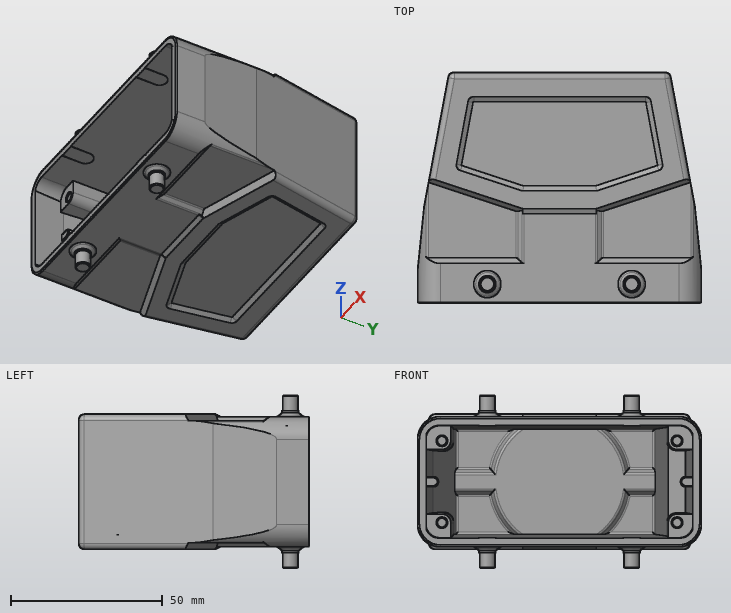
import cadquery as cq
import math


WIDTH = 93.5
DEPTH = 76.0
BASE_HEIGHT = 42.9
HOOD_HEIGHT = 44.6
BASE_CORNER_RADIUS = 7.5
HOOD_EDGE_RADIUS = 2.1
RIM_CHAMFER_DEPTH = 0.3
RIM_CHAMFER_WIDTH = 0.7

KNEE_HALF_WIDTH = 44.6
BACK_HALF_WIDTH = 36.4
TAPER_START = 10.8
KNEE_DEPTH = 31.9

CENTRE_HALF_WIDTH = 12.2
CHEVRON_CENTRE = 31.0
CHEVRON_SLOPE = 0.33
CHEVRON_WALL = 1.5
CENTRE_WALL = 1.7

PANEL_DEPTH = 1.4
PANEL_WALL = 1.9
PANEL_FRONT = 13.1
PANEL_EDGE_RADIUS = 1.1

LABEL_DEPTH = 1.1
LABEL_WALL = 1.7
LABEL_BACK = 68.0
LABEL_BACK_HALF_WIDTH = 29.8
LABEL_SIDE_HALF_WIDTH = 34.2
LABEL_FRONT = 36.9
LABEL_CORNER_RADIUS = 1.9

WALL = 2.9
BACK_WALL = 3.0
CAVITY_CORNER_RADIUS = 4.5
CAVITY_DRAFT = 1.0
CAVITY_SIDE_MARGIN = 0.6
FLOOR_RADIUS = 0.75

LEDGE_DEPTH = 33.7
LEDGE_FRONT_X = 35.8
LEDGE_BACK_X = 31.2

POST_FRONT = 9.7
POST_INNER_X = 35.8
POST_INNER_Z = 10.7
POST_CORNER_RADIUS = 2.8
POST_DRAFT = 1.0
SCREW_X = 38.7
SCREW_Z = 13.5
SCREW_DIAMETER = 3.0
SCREW_DEPTH = 18.7
SCREW_CHAMFER = 0.4

RIB_RADIUS = 1.7
RIB_TIP_X = 39.8
RIB_FRONT = 10.3
RIB_CHAMFER = 0.4

DISC_RADIUS = 23.2
BAR_HALF_WIDTH = 4.3
BOSS_HEIGHT = 2.8
BOSS_WALL = 1.5
BOSS_TOP_RADIUS = 0.9

PIN_X = 23.75
PIN_Y = 6.3
PIN_SPAN = 57.0
PIN_RADIUS = 2.5
PIN_CHAMFER = 0.4
COLLAR_RADIUS = 2.8
COLLAR_HEIGHT = 1.9
FLARE_RADIUS = 4.5
FLARE_HEIGHT = 1.2
BRIM_RADIUS = 3.9
BRIM_HEIGHT = 0.3
PAD_RADIUS = 2.8
PAD_END = 7.2
PAD_THICKNESS = 0.2

base_top = BASE_HEIGHT / 2
hood_top = HOOD_HEIGHT / 2
panel_floor = base_top - PANEL_DEPTH
cavity_top = base_top - WALL
cavity_end = DEPTH - BACK_WALL
sleeve_end = CHEVRON_CENTRE + CHEVRON_SLOPE * (KNEE_HALF_WIDTH - CENTRE_HALF_WIDTH)
far = WIDTH


def slant(run, rise):
    """Draft angle of a wall that leans sideways by run over its rise."""
    return math.degrees(math.atan(run / rise))


def facing_back(depth):
    """Sketch plane across the part; extrusions run from this depth towards the back."""
    return cq.Workplane(cq.Plane((0, depth, 0), (1, 0, 0), (0, 1, 0)))


def both_sides(solid):
    """The solid together with its mirror image below Z = 0."""
    return solid.union(solid.mirror("XY"))


def left_and_right(solid):
    """The solid together with its mirror image across X = 0."""
    return solid.union(solid.mirror("YZ"))


def plan(inset, half_height):
    """Block with the tapering outline of the part, its ends moved in by inset."""
    right_side = [
        (WIDTH / 2 - inset, 0),
        (WIDTH / 2 - inset, TAPER_START),
        (KNEE_HALF_WIDTH - inset, KNEE_DEPTH),
        (BACK_HALF_WIDTH - inset, DEPTH),
    ]
    left_side = [(-x, y) for x, y in reversed(right_side)]
    outline = cq.Workplane("XY").polyline(right_side + left_side).close()
    return outline.extrude(half_height, both=True)


def base():
    """Front sleeve with large round corners and the sunken side panels."""
    sleeve = facing_back(0).rect(WIDTH, BASE_HEIGHT).extrude(sleeve_end)
    sleeve = sleeve.edges("|Y").fillet(BASE_CORNER_RADIUS)
    sleeve = sleeve.intersect(plan(0, hood_top))
    sleeve = sleeve.faces("<Y").chamfer(RIM_CHAMFER_DEPTH, RIM_CHAMFER_WIDTH)
    panel = (
        cq.Workplane("XY", origin=(0, 0, base_top))
        .moveTo(CENTRE_HALF_WIDTH, PANEL_FRONT)
        .lineTo(far, PANEL_FRONT)
        .lineTo(far, DEPTH)
        .lineTo(CENTRE_HALF_WIDTH, DEPTH)
        .close()
        .extrude(-PANEL_DEPTH, taper=slant(PANEL_WALL, PANEL_DEPTH))
    )
    sleeve = sleeve.cut(both_sides(left_and_right(panel)))
    panel_zone = cq.selectors.BoxSelector((-far, PANEL_FRONT, -far), (far, sleeve_end, far))
    return sleeve.edges("|Y").edges(panel_zone).fillet(PANEL_EDGE_RADIUS)


def chevron_outline(z, front):
    """Chevron whose middle lies at the depth front, running out past the back and sides."""
    swept = front + CHEVRON_SLOPE * (far - CENTRE_HALF_WIDTH)
    return (
        cq.Workplane("XY", origin=(0, 0, z))
        .moveTo(-CENTRE_HALF_WIDTH, front)
        .lineTo(CENTRE_HALF_WIDTH, front)
        .lineTo(far, swept)
        .lineTo(far, 2 * far)
        .lineTo(-far, 2 * far)
        .lineTo(-far, swept)
        .close()
    )


def hood():
    """Raised rear housing, trimmed by the sloping chevron wall."""
    block = plan(0, hood_top)
    block = block.faces(">Y or >Z or <Z").edges().edges("not <Y").fillet(HOOD_EDGE_RADIUS)
    front = CHEVRON_CENTRE - CHEVRON_WALL
    core = chevron_outline(0, front).extrude(panel_floor, both=True)
    wall_height = hood_top - panel_floor
    cap = chevron_outline(panel_floor, front).extrude(wall_height, taper=slant(CHEVRON_WALL, wall_height))
    return block.intersect(core.union(both_sides(cap)))


def centre_ramp():
    """Gentle ramp from the base up to the middle of the chevron."""
    ramp = (
        cq.Workplane("YZ", origin=(-CENTRE_HALF_WIDTH, 0, 0))
        .moveTo(CHEVRON_CENTRE - CENTRE_WALL, base_top)
        .lineTo(CHEVRON_CENTRE, hood_top)
        .lineTo(CHEVRON_CENTRE, panel_floor)
        .lineTo(CHEVRON_CENTRE - CENTRE_WALL, panel_floor)
        .close()
        .extrude(2 * CENTRE_HALF_WIDTH)
    )
    return both_sides(ramp)


def label_field():
    """Shallow six-sided sink with sloping walls, its front edge parallel to the chevron."""
    side = LABEL_FRONT + CHEVRON_SLOPE * (LABEL_SIDE_HALF_WIDTH - CENTRE_HALF_WIDTH)
    right_side = [
        (CENTRE_HALF_WIDTH, LABEL_FRONT),
        (LABEL_SIDE_HALF_WIDTH, side),
        (LABEL_BACK_HALF_WIDTH, LABEL_BACK),
    ]
    left_side = [(-x, y) for x, y in reversed(right_side)]
    block = cq.Workplane("XY").polyline(right_side + left_side).close().extrude(hood_top)
    corner_zone = cq.selectors.BoxSelector((-far, side - 0.9, 0), (far, far, far))
    sink = (
        block.edges("|Z")
        .edges(corner_zone)
        .fillet(LABEL_CORNER_RADIUS)
        .faces(">Z")
        .wires()
        .toPending()
        .extrude(-LABEL_DEPTH, taper=slant(LABEL_WALL, LABEL_DEPTH), combine=False)
    )
    return both_sides(sink)


def pin():
    """Locking pin standing on the base, with a flared collar at its root."""
    tip = PIN_SPAN / 2
    profile = (
        cq.Workplane("XZ")
        .moveTo(0, cavity_top)
        .lineTo(PIN_RADIUS, cavity_top)
        .lineTo(PIN_RADIUS, base_top)
        .lineTo(FLARE_RADIUS, base_top)
        .lineTo(BRIM_RADIUS, base_top + BRIM_HEIGHT)
        .lineTo(COLLAR_RADIUS, base_top + FLARE_HEIGHT)
        .lineTo(COLLAR_RADIUS, base_top + COLLAR_HEIGHT)
        .lineTo(PIN_RADIUS, base_top + COLLAR_HEIGHT)
        .lineTo(PIN_RADIUS, tip - PIN_CHAMFER)
        .lineTo(PIN_RADIUS - PIN_CHAMFER, tip)
        .lineTo(0, tip)
        .close()
    )
    return profile.revolve(360, (0, 0, 0), (0, 1, 0)).translate((PIN_X, PIN_Y, 0))


def post():
    """Corner post with a blind screw hole, thickening slightly towards the back."""
    length = cavity_end - POST_FRONT
    column = (
        facing_back(POST_FRONT)
        .moveTo(far, -POST_INNER_Z)
        .lineTo(POST_INNER_X + POST_CORNER_RADIUS, -POST_INNER_Z)
        .radiusArc((POST_INNER_X, -POST_INNER_Z - POST_CORNER_RADIUS), -POST_CORNER_RADIUS)
        .lineTo(POST_INNER_X, -far)
        .lineTo(far, -far)
        .close()
        .extrude(length, taper=-POST_DRAFT)
    )
    centre = facing_back(POST_FRONT).center(SCREW_X, -SCREW_Z)
    hole = centre.circle(SCREW_DIAMETER / 2).extrude(SCREW_DEPTH)
    mouth = centre.circle(SCREW_DIAMETER / 2 + SCREW_CHAMFER).extrude(
        SCREW_CHAMFER, taper=slant(SCREW_CHAMFER, SCREW_CHAMFER)
    )
    return column.cut(hole).cut(mouth)


def rib():
    """Round-nosed guide rib along the middle of an end wall."""
    nose_x = RIB_TIP_X + RIB_RADIUS
    length = cavity_end - RIB_FRONT
    nose = facing_back(RIB_FRONT).center(nose_x, 0).circle(RIB_RADIUS).extrude(length)
    web = facing_back(RIB_FRONT).center(nose_x + WALL, 0).rect(2 * WALL, 2 * RIB_RADIUS).extrude(length)
    return nose.union(web).faces("<Y").chamfer(RIB_CHAMFER)


def ledge():
    """Thicker rear part of the +X end wall."""
    return (
        cq.Workplane("XY")
        .moveTo(LEDGE_FRONT_X, LEDGE_DEPTH)
        .lineTo(far, LEDGE_DEPTH)
        .lineTo(far, cavity_end)
        .lineTo(LEDGE_BACK_X, cavity_end)
        .close()
        .extrude(hood_top, both=True)
    )


def floor_boss():
    """Raised disc and crossbar with sloping sides and rounded top edges on the back wall."""
    taper = -slant(BOSS_WALL, BOSS_HEIGHT)
    top = facing_back(cavity_end - BOSS_HEIGHT)
    disc = top.circle(DISC_RADIUS - BOSS_WALL).extrude(BOSS_HEIGHT, taper=taper)
    bar = top.rect(WIDTH, 2 * (BAR_HALF_WIDTH - BOSS_WALL)).extrude(BOSS_HEIGHT, taper=taper)
    return disc.union(bar).faces("<Y").edges("not(<X or >X)").fillet(BOSS_TOP_RADIUS)


def pin_pad():
    """Thin pad under a pin on the cavity wall, rounded at its rear end."""
    bottom = cavity_top - PAD_THICKNESS
    disc = cq.Workplane("XY", origin=(PIN_X, PAD_END, bottom)).circle(PAD_RADIUS).extrude(WALL)
    strip = (
        cq.Workplane("XY", origin=(PIN_X, PAD_END / 2, bottom))
        .rect(2 * PAD_RADIUS, PAD_END)
        .extrude(WALL)
    )
    return disc.union(strip)


def cavity():
    """Hollow of the housing, less everything that stands inside it."""
    hollow = (
        facing_back(0)
        .sketch()
        .rect(WIDTH - 2 * WALL + CAVITY_SIDE_MARGIN, 2 * cavity_top)
        .vertices()
        .fillet(CAVITY_CORNER_RADIUS)
        .finalize()
        .extrude(cavity_end, taper=CAVITY_DRAFT)
    )
    hollow = hollow.intersect(plan(WALL, hood_top))
    hollow = hollow.cut(ledge()).cut(floor_boss())
    hollow = hollow.faces(">Y").edges().fillet(FLOOR_RADIUS)
    hollow = hollow.cut(both_sides(left_and_right(post())))
    hollow = hollow.cut(left_and_right(rib()))
    return hollow.cut(both_sides(left_and_right(pin_pad())))


hollow_space = cavity()
result = base().union(hood()).union(centre_ramp()).cut(label_field()).cut(hollow_space)
result = result.union(both_sides(left_and_right(pin())).cut(hollow_space))